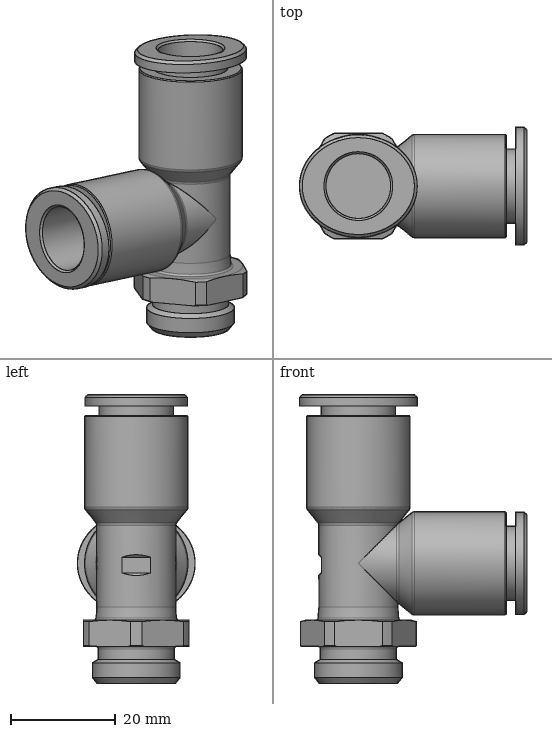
import cadquery as cq
import math

PORT_CENTRE_Z = 22.95
OVERALL_HEIGHT = 55.15
PORT_LENGTH = OVERALL_HEIGHT - PORT_CENTRE_Z

NECK_RADIUS = 7.55
BODY_RADIUS = 9.85
BODY_LENGTH = 17.8
SHOULDER_LENGTH = 2.85
SHOULDER_BLEND = 0.8
BODY_RIM_CHAMFER = 0.2

RING_LENGTH = 2.2
RING_GAP = 1.75
RING_LONG_AXIS = 22.5
RING_SHORT_AXIS = 19.6
RING_CHAMFER = 0.55
RING_NECK_RADIUS = 7.1

BORE_RADIUS = 6.2
BORE_CHAMFER = 0.4

BODY_END = PORT_LENGTH - RING_LENGTH - RING_GAP
BODY_START = BODY_END - BODY_LENGTH
SHOULDER_START = BODY_START - SHOULDER_LENGTH

THREAD_RADIUS = 8.4
THREAD_TOP = 3.95
THREAD_LEAD_HEIGHT = 1.15
THREAD_LEAD_WIDTH = 0.95
THREAD_TOP_RISE = 0.65
RELIEF_RADIUS = 7.3
RELIEF_FILLET = 0.5

HEX_BOTTOM = 7.1
HEX_TOP = 12.15
HEX_ACROSS_FLATS = 20.2
HEX_CORNER_RADIUS = 11.1
HEX_TOP_CHAMFER_WIDTH = 1.1
HEX_TOP_CHAMFER_HEIGHT = 0.35
HEX_BOTTOM_CHAMFER = 0.15

COLLAR_TOP = 14.6
COLLAR_RADIUS = 7.7
COLLAR_FILLET = 0.4

NOTCH_CENTRE_Z = 22.6
NOTCH_FLAT_X = 7.05
NOTCH_FLAT_HEIGHT = 3.0
CUT_CLEARANCE = 0.55


def revolve_profile(points):
    """Turn a closed (radius, height) outline about the Z axis."""
    return cq.Workplane("XZ").polyline(points).close().revolve(360, (0, 0, 0), (0, 1, 0))


def make_port_body():
    """Neck, conical shoulder and cylindrical body, rising from the port centre."""
    body = revolve_profile([
        (0, 0),
        (NECK_RADIUS, 0),
        (NECK_RADIUS, SHOULDER_START),
        (BODY_RADIUS, BODY_START),
        (BODY_RADIUS, BODY_END),
        (0, BODY_END),
    ])
    shoulder_rims = body.faces("%CONE").edges("%CIRCLE")
    blended = shoulder_rims.fillet(SHOULDER_BLEND)
    return blended.faces(">Z").edges().chamfer(BODY_RIM_CHAMFER)


def make_release_ring(long_axis_angle):
    """Oval release ring on its round neck."""
    ring = (
        cq.Workplane("XY", origin=(0, 0, PORT_LENGTH - RING_LENGTH))
        .ellipse(RING_LONG_AXIS / 2, RING_SHORT_AXIS / 2)
        .extrude(RING_LENGTH)
        .faces(">Z").edges().chamfer(RING_CHAMFER)
        .rotate((0, 0, 0), (0, 0, 1), long_axis_angle)
    )
    neck = (
        cq.Workplane("XY", origin=(0, 0, BODY_START))
        .circle(RING_NECK_RADIUS)
        .extrude(PORT_LENGTH - RING_LENGTH - BODY_START)
    )
    return ring.union(neck)


def make_bore():
    """Blind tube bore with a chamfered mouth."""
    return revolve_profile([
        (0, BODY_START),
        (BORE_RADIUS, BODY_START),
        (BORE_RADIUS, PORT_LENGTH - BORE_CHAMFER),
        (BORE_RADIUS + BORE_CHAMFER, PORT_LENGTH),
        (0, PORT_LENGTH),
    ])


def make_port(long_axis_angle):
    """Port body with its release ring, before boring."""
    return make_port_body().union(make_release_ring(long_axis_angle))


def point_up(shape):
    """Place a port feature on the upward port."""
    return shape.translate((0, 0, PORT_CENTRE_Z))


def point_sideways(shape):
    """Place a port feature on the +X port."""
    return shape.rotate((0, 0, 0), (0, 1, 0), 90).translate((0, 0, PORT_CENTRE_Z))


def make_stem():
    """Threaded end, relief groove, collar and neck up to the port centre."""
    arc_middle = 1 - math.sqrt(0.5)
    relief_side = RELIEF_RADIUS + RELIEF_FILLET * arc_middle
    relief_top = HEX_BOTTOM - RELIEF_FILLET * arc_middle
    collar_side = COLLAR_RADIUS + COLLAR_FILLET * arc_middle
    collar_base = HEX_TOP + COLLAR_FILLET * arc_middle
    profile = (
        cq.Workplane("XZ")
        .moveTo(0, 0)
        .lineTo(THREAD_RADIUS - THREAD_LEAD_WIDTH, 0)
        .lineTo(THREAD_RADIUS, THREAD_LEAD_HEIGHT)
        .lineTo(THREAD_RADIUS, THREAD_TOP)
        .lineTo(RELIEF_RADIUS, THREAD_TOP + THREAD_TOP_RISE)
        .lineTo(RELIEF_RADIUS, HEX_BOTTOM - RELIEF_FILLET)
        .threePointArc((relief_side, relief_top), (RELIEF_RADIUS + RELIEF_FILLET, HEX_BOTTOM))
        .lineTo(COLLAR_RADIUS + COLLAR_FILLET, HEX_TOP)
        .threePointArc((collar_side, collar_base), (COLLAR_RADIUS, HEX_TOP + COLLAR_FILLET))
        .lineTo(NECK_RADIUS, COLLAR_TOP)
        .lineTo(NECK_RADIUS, PORT_CENTRE_Z)
        .lineTo(0, PORT_CENTRE_Z)
        .close()
    )
    return profile.revolve(360, (0, 0, 0), (0, 1, 0))


def make_hexagon():
    """Hexagon with flats facing +Y and -Y, turned corners and chamfered rims."""
    across_corners = HEX_ACROSS_FLATS / math.cos(math.pi / 6)
    prism = (
        cq.Workplane("XY", origin=(0, 0, HEX_BOTTOM))
        .polygon(6, across_corners)
        .extrude(HEX_TOP - HEX_BOTTOM)
    )
    blank = revolve_profile([
        (0, HEX_BOTTOM),
        (HEX_CORNER_RADIUS - HEX_BOTTOM_CHAMFER, HEX_BOTTOM),
        (HEX_CORNER_RADIUS, HEX_BOTTOM + HEX_BOTTOM_CHAMFER),
        (HEX_CORNER_RADIUS, HEX_TOP - HEX_TOP_CHAMFER_HEIGHT),
        (HEX_CORNER_RADIUS - HEX_TOP_CHAMFER_WIDTH, HEX_TOP),
        (0, HEX_TOP),
    ])
    return prism.intersect(blank)


def make_notch():
    """Cutter for the flat-bottomed notch, its sides sloping out at 45 degrees."""
    depth = NECK_RADIUS - NOTCH_FLAT_X + CUT_CLEARANCE
    half_flat = NOTCH_FLAT_HEIGHT / 2
    return (
        cq.Workplane("XZ", origin=(0, 0, NOTCH_CENTRE_Z))
        .polyline([
            (-NOTCH_FLAT_X, -half_flat),
            (-NOTCH_FLAT_X, half_flat),
            (-NOTCH_FLAT_X - depth, half_flat + depth),
            (-NOTCH_FLAT_X - depth, -half_flat - depth),
        ])
        .close()
        .extrude(NECK_RADIUS, both=True)
    )


result = (
    make_stem()
    .union(make_hexagon())
    .union(point_up(make_port(0)))
    .union(point_sideways(make_port(90)))
    .cut(point_up(make_bore()))
    .cut(point_sideways(make_bore()))
    .cut(make_notch())
)